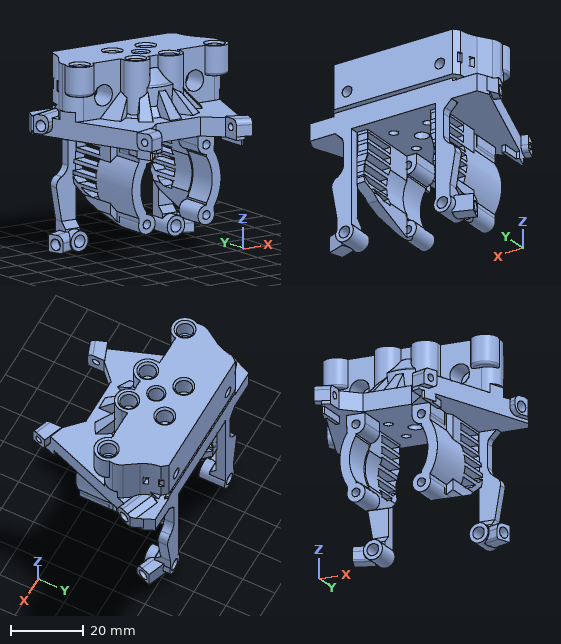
import cadquery as cq
import math

overall_width = 61.2
overall_depth = 44.0
overall_height = 55.75
overlap = 0.3

plate_bottom = 34.25
plate_thickness = 5.45
plate_top = plate_bottom + plate_thickness
side_angle = 20.0
side_start_x, side_start_y = 29.35, -3.7
back_corner_x = 27.7
finger_end_y = -43.25
finger_inner_x = 12.55
finger_inner_y = -37.2
front_edge_x, front_edge_y = 7.45, -32.35

raised_tab_top = 42.35
raised_tab_back_y, raised_tab_front_y = -12.8, -17.6
raised_tab_depth = 1.85
hanging_tab_bottom = 32.1
hanging_tab_back_y, hanging_tab_front_y = -37.1, -41.3
hanging_tab_width, hanging_web_thickness = 0.7, 1.1

block_front_y = -18.3
block_back_x = 19.65
block_side_x = 26.25
block_corner_radius = 4.2
block_chamfer_end = (-21.1, -1.8)
block_waist_middle, block_waist_end = (-21.65, -4.65), (-22.9, -7.35)
block_flank_end, block_shoulder_middle = (-25.45, -11.25), (-26.05, -12.6)
undercut_top = 41.8
undercut_depth = 4.7
undercut_foot = 2.45
back_lip_height, back_lip_depth = 0.85, 0.9
side_slot_bottom, side_slot_height = 45.9, 2.9
side_slot_width, side_slot_floor_x = 1.35, 20.5
side_slot_centres_y = (-1.8, -5.95)

cross_hole_x, cross_hole_z = 15.35, 46.2
cross_hole_diameter = 3.2
cross_bore_diameter, cross_bore_depth = 6.0, 7.35

hub_y = -14.3
hub_hole_diameter, hub_hole_rim_diameter = 4.2, 5.25
screw_pitch = 11.25
screw_diameter, screw_bore_diameter, screw_rim_diameter = 2.7, 4.8, 6.0
screw_bore_depth = 6.1
screw_boss_radius = 3.9
web_front_y, web_half_width = -20.25, 2.45
side_boss_x, side_boss_y = 22.7, -17.3
side_boss_radius, side_boss_bottom = 4.0, 47.2
side_boss_edge_radius = 0.75
side_bore_diameter, side_bore_depth = 4.7, 5.5
side_pilot_diameter, side_pilot_depth = 3.5, 7.35

hub_diameter = 20.6
hub_base_radius, hub_base_top = 12.5, 42.45
hub_shoulder_z, hub_shoulder_bevel = 48.3, 0.5
hub_cone_top_radius, hub_cone_top_z = 5.95, 52.3
rib_foot_radius, rib_top_radius = 16.9, 9.65
rib_foot_width, rib_top_width = 4.05, 2.1
rib_angles = (-30.0, 0.0, 30.0)
rib_top_z = 47.25
side_rib_start, side_rib_end = 54.0, 82.0

shroud_z = 21.35
shroud_front_y = -31.55
shroud_outer_radius = 15.0
shroud_front_inner_radius, shroud_rear_inner_radius = 12.0, 11.6
shroud_wall_inner_x = 10.4
shroud_rear_wall_x, shroud_front_wall_x = 13.8, 12.7
shroud_rear_end_y, shroud_taper_end_y = -19.4, -21.1
ear_back_y = -22.35
ear_x, ear_offset_z = 10.05, 10.0
ear_radius, ear_hole_diameter = 2.8, 2.45
slot_count, slot_pitch, slot_height = 6, 3.2, 2.1
first_slot_z = 16.6
slot_end_y = -14.15
shroud_edge_back_z = 20.45
shroud_edge_bend_y, shroud_edge_bend_z = -7.95, 14.4
shroud_edge_front_y = -23.55
lower_corner_top = 12.4
rim_height = 2.2

leg_thickness = 3.05
leg_inner_x, leg_root_x = 13.9, 19.35
leg_root_end, leg_neck_bend = (-17.2, 32.1), (-16.75, 31.4)
leg_neck_x, leg_neck_top, leg_neck_bottom = 16.6, 30.45, 23.5
leg_hollow, leg_swell_start = (-17.5, 21.65), (-18.7, 20.6)
leg_swell, leg_swell_end = (-20.2, 19.35), (-20.5, 17.7)
pivot_x, pivot_radius = 16.2, 2.95
pivot_length, pivot_hole_diameter = 8.1, 3.5
gusset_top, gusset_outer_x, gusset_depth = 7.95, 18.8, 5.0

lug_width = 5.0
rear_lug_width = 7.65
rear_lug_slope_start, rear_lug_slope_end = 1.45, 3.7
rear_lug_y, rear_lug_bottom, rear_lug_top = -6.35, 35.25, 40.7
rear_lug_top_radius, rear_lug_bottom_radius = 1.85, 2.45
front_lug_radius = 1.6
pivot_lug_top_radius, pivot_lug_bottom_radius = 2.15, 0.55
front_lug_x, front_lug_top = 18.65, 40.1
pivot_lug_x, pivot_lug_y = 23.9, -3.9
pivot_lug_bottom, pivot_lug_top = 0.2, 5.25
lug_hole_diameter, front_lug_hole_diameter = 3.2, 2.1
lug_hole_height = 2.3
rear_lug_length, front_lug_length, pivot_lug_length = 9.2, 8.55, 6.1
rear_lug_hole_depth, pivot_lug_hole_depth = 9.2, 3.75

side_sin = math.sin(math.radians(side_angle))
side_cos = math.cos(math.radians(side_angle))
side_tan = side_sin / side_cos


def prism(points, bottom, top):
    """Vertical prism over an XY outline."""
    return cq.Workplane("XY").workplane(offset=bottom).polyline(points).close().extrude(top - bottom)


def box(x_range, y_range, z_range):
    size = [b - a for a, b in (x_range, y_range, z_range)]
    return cq.Workplane("XY").box(*size, centered=False).translate((x_range[0], y_range[0], z_range[0]))


def upright(x, y, diameter, bottom, top):
    """Vertical cylinder."""
    base = cq.Workplane("XY").workplane(offset=bottom).center(x, y)
    return base.circle(diameter / 2).extrude(top - bottom)


def lengthwise(x, z, diameter, front, back):
    """Cylinder along Y."""
    return cq.Workplane("XZ", origin=(0, back, 0)).center(x, z).circle(diameter / 2).extrude(back - front)


def side_profile(points, x_start, x_end):
    """Prism along X over a YZ outline."""
    return cq.Workplane("YZ", origin=(x_start, 0, 0)).polyline(points).close().extrude(x_end - x_start)


def mirrored(shape):
    return shape.union(shape.mirror("YZ"))


def plate_side_x(y):
    """X of the left plate side at a given Y."""
    return -side_start_x + (side_start_y - y) * side_tan


def rim_entry(x, y, hole_diameter, rim_diameter):
    """Conical countersink at the top face."""
    depth = (rim_diameter - hole_diameter) / 2
    top = cq.Workplane("XY").workplane(offset=overall_height - depth).center(x, y)
    return top.circle(hole_diameter / 2).workplane(offset=depth).circle(rim_diameter / 2).loft()


def lug_plane(corner_x, corner_y, bottom):
    """Plane on a lug's end face: local x runs forward along the plate side, local y up."""
    return cq.Plane(
        origin=(-corner_x, corner_y, bottom),
        xDir=(side_sin, -side_cos, 0),
        normal=(-side_cos, -side_sin, 0),
    )


def placed(shape, plane):
    """Move a shape built at the origin onto a lug plane."""
    return cq.Workplane(shape.val().moved(cq.Location(plane)))


rear_shoulder = rear_lug_width - lug_width
rear_plane = lug_plane(
    overall_width / 2 + rear_shoulder * side_sin, rear_lug_y + rear_shoulder * side_cos, rear_lug_bottom
)
front_plane = lug_plane(front_lug_x, -overall_depth + lug_width * side_cos, rear_lug_bottom)
pivot_plane = lug_plane(pivot_lug_x, pivot_lug_y, pivot_lug_bottom)


def plate():
    finger_x = plate_side_x(finger_end_y)
    finger_inner_end_y = finger_end_y + (-finger_inner_x - finger_x) * side_tan
    left = [
        (-back_corner_x, 0),
        (-side_start_x, side_start_y),
        (finger_x, finger_end_y),
        (-finger_inner_x, finger_inner_end_y),
        (-finger_inner_x, finger_inner_y),
        (-front_edge_x, front_edge_y),
    ]
    right = [(-x, y) for x, y in reversed(left)]
    full = prism(left + right, plate_bottom, plate_top)
    return full.cut(mirrored(front_lug_seat()))


def front_lug_seat():
    """Step at the finger end that leaves the rounded edge of the front lug free."""
    seat = box((lug_width / 2, 2 * lug_width), (0, lug_width), (-front_lug_length, front_lug_length))
    return placed(seat, front_plane)


def outside_plate_side(bottom, top):
    """Space beyond the left plate side, alongside the block."""
    outline = [
        (-side_start_x, side_start_y),
        (plate_side_x(hanging_tab_back_y), hanging_tab_back_y),
        (-overall_width, hanging_tab_back_y),
        (-overall_width, side_start_y),
    ]
    return prism(outline, bottom, top)


def raised_tab():
    back_x = plate_side_x(raised_tab_back_y)
    front_x = plate_side_x(raised_tab_front_y)
    outline = [
        (back_x, raised_tab_back_y),
        (front_x, raised_tab_front_y),
        (front_x + raised_tab_depth, raised_tab_front_y),
        (back_x + raised_tab_depth, raised_tab_back_y),
    ]
    return prism(outline, plate_bottom, raised_tab_top)


def hanging_tab():
    """Tab under the plate finger with a thin web running back from it."""
    back_x = plate_side_x(hanging_tab_back_y)
    front_x = plate_side_x(hanging_tab_front_y)
    inner_x = front_x + hanging_tab_width
    web_x = inner_x - hanging_web_thickness
    outline = [
        (back_x, hanging_tab_back_y),
        (front_x, hanging_tab_front_y),
        (inner_x, hanging_tab_front_y),
        (inner_x, shroud_front_y),
        (web_x, shroud_front_y),
        (web_x, hanging_tab_back_y),
    ]
    return prism(outline, hanging_tab_bottom, plate_bottom + overlap)


def block():
    half = (
        cq.Workplane("XY").workplane(offset=plate_top - overlap)
        .moveTo(0, 0)
        .lineTo(-block_back_x, 0)
        .lineTo(*block_chamfer_end)
        .threePointArc(block_waist_middle, block_waist_end)
        .lineTo(*block_flank_end)
        .threePointArc(block_shoulder_middle, (-block_side_x, block_front_y + block_corner_radius))
        .radiusArc((-block_side_x + block_corner_radius, block_front_y), -block_corner_radius)
        .lineTo(0, block_front_y)
        .close()
        .extrude(overall_height - plate_top + overlap)
    )
    return mirrored(half)


def undercut():
    """Gap between the back of the block and the plate, behind a small lip."""
    outline = [
        (overlap, undercut_top),
        (-undercut_depth, undercut_top),
        (-undercut_foot, plate_top),
        (-back_lip_depth, plate_top),
        (-back_lip_depth, plate_top + back_lip_height),
        (overlap, plate_top + back_lip_height),
    ]
    return side_profile(outline, -overall_width / 2, overall_width / 2)


def side_slots():
    slots = cq.Workplane("XY")
    for y in side_slot_centres_y:
        slots = slots.union(box(
            (-block_side_x, -side_slot_floor_x),
            (y - side_slot_width / 2, y + side_slot_width / 2),
            (side_slot_bottom, side_slot_bottom + side_slot_height),
        ))
    return slots


def side_boss():
    boss = upright(-side_boss_x, side_boss_y, 2 * side_boss_radius, side_boss_bottom, overall_height)
    return boss.faces("<Z").edges().fillet(side_boss_edge_radius)


def screw_boss():
    """Front screw boss with its flat-sided root on the block."""
    x, y = -screw_pitch / 2, hub_y - screw_pitch / 2
    boss = upright(x, y, 2 * screw_boss_radius, plate_top - overlap, overall_height)
    root = box(
        (x - screw_boss_radius, x + screw_boss_radius),
        (y, block_front_y + overlap),
        (plate_top - overlap, overall_height),
    )
    return boss.union(root)


def boss_web():
    return box(
        (-web_half_width, web_half_width),
        (web_front_y, block_front_y + overlap),
        (plate_top, overall_height),
    )


def hub():
    profile = [
        (0, plate_top - overlap),
        (hub_base_radius, plate_top - overlap),
        (hub_base_radius, plate_top),
        (hub_diameter / 2, hub_base_top),
        (hub_diameter / 2, hub_shoulder_z - hub_shoulder_bevel),
        (hub_diameter / 2 - hub_shoulder_bevel, hub_shoulder_z),
        (hub_cone_top_radius, hub_cone_top_z),
        (0, hub_cone_top_z),
    ]
    return cq.Workplane("XZ").polyline(profile).close().revolve().translate((0, hub_y, 0))


def rib_profile():
    return [
        (0, plate_top - overlap),
        (rib_foot_radius, plate_top - overlap),
        (rib_foot_radius, plate_top),
        (rib_top_radius, rib_top_z),
        (0, rib_top_z),
    ]


def rib(angle):
    """Sloping rib that narrows towards the hub, turned about the hub axis."""
    side_view = side_profile([(-r, z) for r, z in rib_profile()], -rib_foot_width, rib_foot_width)
    front_view = (
        cq.Workplane("XZ")
        .polyline([
            (-rib_foot_width / 2, plate_top - overlap),
            (rib_foot_width / 2, plate_top - overlap),
            (rib_top_width / 2, rib_top_z),
            (-rib_top_width / 2, rib_top_z),
        ])
        .close()
        .extrude(2 * rib_foot_radius)
    )
    shape = side_view.intersect(front_view)
    return shape.rotate((0, 0, 0), (0, 0, 1), angle).translate((0, hub_y, 0))


def side_rib():
    """Wide conical rib filling the corner between hub and block."""
    sector = (
        cq.Workplane("XZ").polyline(rib_profile()).close()
        .revolve(side_rib_end - side_rib_start, (0, 0), (0, 1))
    )
    return sector.rotate((0, 0, 0), (0, 0, 1), -90 - side_rib_end).translate((0, hub_y, 0))


def shroud_wall():
    """Left wall: a tube section carried by a flat-sided wall, open in the middle."""
    bottom, top = shroud_z - ear_offset_z - ear_radius, plate_bottom + overlap
    flat = prism(
        [
            (-shroud_rear_wall_x, -leg_thickness + overlap),
            (-shroud_rear_wall_x, shroud_rear_end_y),
            (-shroud_front_wall_x, shroud_taper_end_y),
            (-shroud_front_wall_x, shroud_front_y),
            (-shroud_wall_inner_x, shroud_front_y),
            (-shroud_wall_inner_x, -leg_thickness + overlap),
        ],
        bottom, top,
    )
    tube = lengthwise(0, shroud_z, 2 * shroud_outer_radius, shroud_front_y, -leg_thickness + overlap)
    outer_half = box(
        (-shroud_outer_radius, -shroud_wall_inner_x),
        (shroud_front_y, 0),
        (bottom, top),
    )
    wall = flat.union(tube.intersect(outer_half))
    for sign in (-1, 1):
        wall = wall.union(ear_bridge(sign))
    wall = wall.cut(lower_corner())
    wall = wall.cut(lengthwise(0, shroud_z, 2 * shroud_rear_inner_radius, shroud_front_y, 0))
    wall = wall.cut(lengthwise(0, shroud_z, 2 * shroud_front_inner_radius, shroud_front_y, ear_back_y))
    for sign in (-1, 1):
        ear_z = shroud_z + sign * ear_offset_z
        wall = wall.union(lengthwise(-ear_x, ear_z, 2 * ear_radius, shroud_front_y, ear_back_y))
        wall = wall.cut(lengthwise(-ear_x, ear_z, ear_hole_diameter, shroud_front_y, ear_back_y))
    return wall.intersect(shroud_side_outline(0)).cut(shroud_slots())


def ear_bridge(sign):
    """Web from the tube to the ear above (+1) or below (-1) the shroud axis."""
    ear_z = shroud_z + sign * ear_offset_z
    shape = box(
        (-shroud_front_wall_x, -ear_x),
        (shroud_front_y, ear_back_y),
        tuple(sorted((ear_z, shroud_z + sign * ear_radius))),
    )
    if sign > 0:
        hanger = box(
            (-ear_x - ear_radius, -ear_x + ear_radius),
            (shroud_front_y, ear_back_y),
            (ear_z, plate_bottom + overlap),
        )
        shape = shape.union(hanger)
    return shape


def lower_corner():
    """Material trimmed from the outer lower corner so the wall runs into the ear."""
    ear_z = shroud_z - ear_offset_z
    bottom = ear_z - ear_radius
    slant = ear_radius * math.sqrt(0.5)
    outline = [
        (-shroud_rear_wall_x, lower_corner_top),
        (-ear_x - slant, ear_z - slant),
        (-ear_x, bottom),
        (-overall_width / 2, bottom),
        (-overall_width / 2, lower_corner_top),
    ]
    corner = cq.Workplane("XZ").polyline(outline).close().extrude(-shroud_front_y)
    return corner.cut(lengthwise(-ear_x, ear_z, 2 * ear_radius, shroud_front_y, 0))


def shroud_side_outline(raise_by):
    """Side silhouette of the shroud with the lower edge lifted by raise_by."""
    bottom = shroud_z - ear_offset_z - ear_radius
    outline = [
        (0, plate_bottom + overlap),
        (0, shroud_edge_back_z + raise_by),
        (shroud_edge_bend_y, shroud_edge_bend_z + raise_by),
        (shroud_edge_front_y, bottom + raise_by),
        (shroud_front_y, bottom + raise_by),
        (shroud_front_y, plate_bottom + overlap),
    ]
    return side_profile(outline, -overall_width / 2, 0)


def shroud_slots():
    slots = cq.Workplane("XY")
    for index in range(slot_count):
        z = first_slot_z + index * slot_pitch
        slots = slots.union(box(
            (-overall_width / 2, 0),
            (slot_end_y, -leg_thickness),
            (z - slot_height / 2, z + slot_height / 2),
        ))
    return slots.intersect(shroud_side_outline(rim_height))


def leg():
    shape = (
        cq.Workplane("XZ")
        .moveTo(-leg_inner_x, plate_bottom + overlap)
        .lineTo(-leg_root_x, plate_bottom + overlap)
        .lineTo(-leg_root_x, plate_bottom)
        .lineTo(*leg_root_end)
        .threePointArc(leg_neck_bend, (-leg_neck_x, leg_neck_top))
        .lineTo(-leg_neck_x, leg_neck_bottom)
        .threePointArc(leg_hollow, leg_swell_start)
        .threePointArc(leg_swell, leg_swell_end)
        .lineTo(-gusset_outer_x, gusset_top)
        .lineTo(-gusset_outer_x, pivot_radius)
        .lineTo(-leg_inner_x, pivot_radius)
        .close()
        .extrude(leg_thickness)
    )
    gusset = side_profile(
        [
            (0, gusset_top),
            (-leg_thickness, gusset_top),
            (-gusset_depth, gusset_top + leg_thickness - gusset_depth),
            (-gusset_depth, pivot_radius),
            (0, pivot_radius),
        ],
        -gusset_outer_x, -leg_inner_x,
    )
    pivot = lengthwise(-pivot_x, pivot_radius, 2 * pivot_radius, -pivot_length, 0)
    return shape.union(gusset).union(pivot)


def lug(plane, width, height, length, rounding):
    """Bar running inwards from its end face, with the radius of each named edge in rounding."""
    bar = box((0, width), (0, height), (-length, 0))
    for edge, radius in rounding.items():
        bar = bar.edges(edge).fillet(radius)
    return placed(bar, plane)


def lug_hole(plane, width, diameter, depth):
    """Hole centred on the plain lug width, measured back from the front edge."""
    hole = upright(width - lug_width / 2, lug_hole_height, diameter, -depth, 0)
    return placed(hole, plane)


front_top, front_bottom = "|Z and (>X and >Y)", "|Z and (>X and <Y)"
back_bottom = "|Z and (<X and <Y)"


def rear_lug():
    """Lug at the back corner of the plate, trimmed by the line of the plate's end."""
    height = rear_lug_top - rear_lug_bottom
    rounding = {front_top: rear_lug_top_radius, front_bottom: rear_lug_bottom_radius}
    bar = lug(rear_plane, rear_lug_width, height, rear_lug_length, rounding)
    shoulder = plate_top - rear_lug_bottom
    slope_outline = [
        (0, shoulder),
        (rear_lug_slope_start, shoulder),
        (rear_lug_slope_end, height),
        (0, height),
    ]
    slope = cq.Workplane("XY").polyline(slope_outline).close().extrude(-rear_lug_length)
    end_lean = (overall_width / 2 - back_corner_x) / -rear_lug_y
    reach = overall_depth
    plate_end = prism(
        [(-back_corner_x, 0), (-back_corner_x - reach * end_lean, -reach), (0, -reach), (0, 0)],
        rear_lug_bottom, rear_lug_top,
    )
    sloped_bar = bar.cut(placed(slope, rear_plane))
    return sloped_bar.intersect(plate_end)


def front_lug():
    rounding = {front_top: front_lug_radius, back_bottom: front_lug_radius}
    bar = lug(front_plane, lug_width, front_lug_top - rear_lug_bottom, front_lug_length, rounding)
    finger_side = box((-overall_width, -finger_inner_x), (-overall_depth, 0), (0, overall_height))
    return bar.intersect(finger_side)


def pivot_lug():
    rounding = {front_top: pivot_lug_top_radius, front_bottom: pivot_lug_bottom_radius}
    height = pivot_lug_top - pivot_lug_bottom
    return lug(pivot_plane, lug_width, height, pivot_lug_length, rounding)


upper = block().union(mirrored(side_boss())).union(mirrored(screw_boss())).union(boss_web()).union(hub())
for angle in rib_angles:
    upper = upper.union(rib(angle))
upper = upper.union(mirrored(side_rib()))
upper = upper.cut(mirrored(outside_plate_side(0, raised_tab_top)))
upper = upper.cut(undercut()).cut(mirrored(side_slots()))

left_parts = (
    raised_tab()
    .union(hanging_tab())
    .union(shroud_wall())
    .union(leg())
    .union(rear_lug())
    .union(front_lug())
    .union(pivot_lug())
)
result = plate().union(upper).union(mirrored(left_parts))

result = result.cut(upright(0, hub_y, hub_hole_diameter, plate_bottom, overall_height))
result = result.cut(rim_entry(0, hub_y, hub_hole_diameter, hub_hole_rim_diameter))

screw_ys = (hub_y - screw_pitch / 2, hub_y + screw_pitch / 2)
for x in (-screw_pitch / 2, screw_pitch / 2):
    for y in screw_ys:
        result = result.cut(upright(x, y, screw_diameter, plate_bottom, overall_height))
        bore_bottom = overall_height - screw_bore_depth
        result = result.cut(upright(x, y, screw_bore_diameter, bore_bottom, overall_height))
        result = result.cut(rim_entry(x, y, screw_bore_diameter, screw_rim_diameter))

side_holes = (
    upright(-side_boss_x, side_boss_y, side_bore_diameter, overall_height - side_bore_depth, overall_height)
    .union(upright(
        -side_boss_x, side_boss_y, side_pilot_diameter, overall_height - side_pilot_depth, overall_height
    ))
    .union(rim_entry(-side_boss_x, side_boss_y, side_bore_diameter, screw_rim_diameter))
    .union(lengthwise(-cross_hole_x, cross_hole_z, cross_hole_diameter, -overall_depth, 0))
    .union(lengthwise(
        -cross_hole_x, cross_hole_z, cross_bore_diameter, block_front_y, block_front_y + cross_bore_depth
    ))
    .union(lengthwise(-pivot_x, pivot_radius, pivot_hole_diameter, -pivot_length, 0))
    .union(lug_hole(rear_plane, rear_lug_width, lug_hole_diameter, rear_lug_hole_depth))
    .union(lug_hole(front_plane, lug_width, front_lug_hole_diameter, front_lug_length))
    .union(lug_hole(pivot_plane, lug_width, lug_hole_diameter, pivot_lug_hole_depth))
)
result = result.cut(mirrored(side_holes))